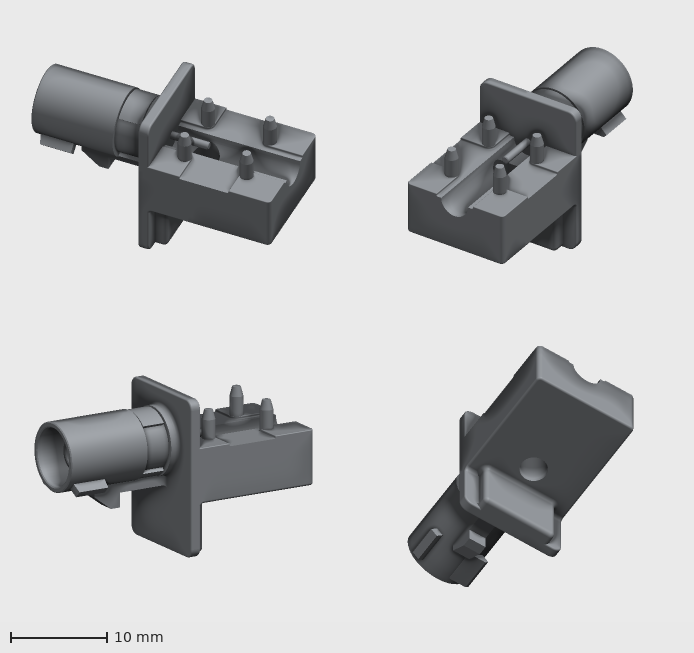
import cadquery as cq
import math


BARREL_R = 3.75
BARREL_LENGTH = 9.25
RIM_CHAMFER = 0.1
BORE_R = 3.15
BORE_DEPTH = 8.45
NECK_R = 3.2
NECK_END = 12.13

RING_R = 3.63
RING_GAP = 0.17
RING_OPEN_HALF_ANGLE = 45.0

SLEEVE_R = 1.85
SLEEVE_BORE_R = 1.38
SLEEVE_START = 2.35
SLEEVE_CHAMFER = 0.17
SLEEVE_BORE_CHAMFER = 0.08
CONTACT_R = 0.42
CONTACT_START = 3.38
CONTACT_END = 18.58
CONTACT_TIP_CHAMFER = 0.23
CONTACT_TAIL_CHAMFER = 0.08

PLATE_START = 13.15
PLATE_END = 14.33
PLATE_WIDTH = 12.0
PLATE_TOP = 5.5
PLATE_BOTTOM = -11.5
PLATE_CORNER_R = 1.0
PLATE_EDGE_R = 0.2
COLLAR_FILLET = 0.35

LATCH_START = 4.5
LATCH_END = 7.57
LATCH_WIDTH = 2.0
LATCH_BOTTOM = -6.28
LATCH_NOSE_BOTTOM = -4.75
LATCH_SLOPE_END = 6.5
STRIP_BOTTOM = -4.67

KEY_FRONT = 0.75
KEY_FRONT_SLOPE = 0.25
KEY_END = LATCH_START
KEY_WIDTH = 0.99
KEY_R = 4.75
KEY_FLAT_Z = -3.72
KEY_ANGLE = 45.0

BODY_END = 28.15
BODY_WIDTH = PLATE_WIDTH
BODY_BOTTOM = -5.7
BODY_CORNER_R = 0.5
BODY_EDGE_R = 0.25
GROOVE_R = 1.65
HOLE_X = 18.15
HOLE_DIAMETER = 2.95

PAD_HEIGHT = 0.3
PAD_MARGIN = 0.73
PAD_EDGE_R = 0.08
PAD_ROOT_R = 0.15
POST_XS = (17.12, 24.15)
POST_Y = 2.98
POST_DIAMETER = 1.44
POST_R = POST_DIAMETER / 2
POST_TIP_R = 0.45
POST_SHOULDER_Z = 2.4
POST_TOP = 3.4

RIB_END = 15.7
RIB_WIDTH = 8.73
RIB_EDGE_R = 0.5
RIB_ROOT_R = 0.23
BODY_ROOT_R = 0.45

SELECT_MARGIN = 0.03


def rod(radius, start, end):
    """Cylinder on the barrel axis."""
    return cq.Workplane("YZ", origin=(start, 0, 0)).circle(radius).extrude(end - start)


def block(x_range, y_range, z_range):
    """Box given by its limits along each axis."""
    corner = cq.Vector(x_range[0], y_range[0], z_range[0])
    size = [limits[1] - limits[0] for limits in (x_range, y_range, z_range)]
    return cq.Workplane(cq.Solid.makeBox(*size, corner))


def centred(width):
    """Limits of a width centred on zero."""
    return (-width / 2, width / 2)


def make_barrel():
    shell = rod(BARREL_R, 0, BARREL_LENGTH).faces("<X").edges().chamfer(RIM_CHAMFER)
    shell = shell.union(rod(NECK_R, BARREL_LENGTH, NECK_END)).union(make_ring())
    shell = shell.cut(rod(BORE_R, 0, BORE_DEPTH))
    mouth_edge = cq.selectors.RadiusNthSelector(0)
    return shell.faces("<X").edges(mouth_edge).chamfer(RIM_CHAMFER)


def make_ring():
    ring = rod(RING_R, BARREL_LENGTH + RING_GAP, NECK_END - RING_GAP)
    reach = 2 * RING_R
    rise = reach * math.tan(math.radians(RING_OPEN_HALF_ANGLE))
    opening = (
        cq.Workplane("YZ", origin=(BARREL_LENGTH, 0, 0))
        .polyline([(0, 0), (-reach, rise), (-reach, -rise)])
        .close()
        .extrude(NECK_END - BARREL_LENGTH)
    )
    return ring.cut(opening)


def make_sleeve():
    sleeve = rod(SLEEVE_R, SLEEVE_START, BORE_DEPTH).faces("<X").edges().chamfer(SLEEVE_CHAMFER)
    sleeve = sleeve.cut(rod(SLEEVE_BORE_R, SLEEVE_START, BORE_DEPTH))
    mouth_edge = cq.selectors.RadiusNthSelector(0)
    return sleeve.faces("<X").edges(mouth_edge).chamfer(SLEEVE_BORE_CHAMFER)


def make_contact():
    contact = rod(CONTACT_R, CONTACT_START, CONTACT_END)
    contact = contact.faces("<X").edges().chamfer(CONTACT_TIP_CHAMFER)
    return contact.faces(">X").edges().chamfer(CONTACT_TAIL_CHAMFER)


def make_plate():
    plate = block((PLATE_START, PLATE_END), centred(PLATE_WIDTH), (PLATE_BOTTOM, PLATE_TOP))
    plate = plate.edges("|X").fillet(PLATE_CORNER_R)
    return plate.faces("<X or >X").edges().fillet(PLATE_EDGE_R)


def make_collar():
    """Barrel collar and strip end, flared where they meet the plate."""
    strip = block((NECK_END, PLATE_START), centred(LATCH_WIDTH), (STRIP_BOTTOM, 0))
    backing_size = 2 * (PLATE_TOP - PLATE_EDGE_R)
    backing = block((PLATE_START, PLATE_END - PLATE_EDGE_R), centred(backing_size), centred(backing_size))
    joined = rod(BARREL_R, NECK_END, PLATE_START).union(strip).union(backing)
    reach = backing_size / 2 - SELECT_MARGIN
    inside = cq.selectors.BoxSelector(
        (PLATE_START - SELECT_MARGIN, -reach, -reach),
        (PLATE_START + SELECT_MARGIN, reach, reach),
    )
    return joined.edges(inside).fillet(COLLAR_FILLET)


def make_latch():
    return (
        cq.Workplane("XZ", origin=(0, LATCH_WIDTH / 2, 0))
        .moveTo(LATCH_START, -NECK_R)
        .lineTo(LATCH_START, LATCH_NOSE_BOTTOM)
        .lineTo(LATCH_SLOPE_END, LATCH_BOTTOM)
        .lineTo(LATCH_END, LATCH_BOTTOM)
        .lineTo(LATCH_END, STRIP_BOTTOM)
        .lineTo(PLATE_START, STRIP_BOTTOM)
        .lineTo(PLATE_START, -NECK_R)
        .close()
        .extrude(LATCH_WIDTH)
    )


def make_key():
    """Square key on the -Y side, modelled along -Z and turned about the axis."""
    blank = (
        cq.Workplane("XZ", origin=(0, KEY_WIDTH / 2, 0))
        .moveTo(KEY_FRONT, -NECK_R)
        .lineTo(KEY_FRONT, -BARREL_R)
        .lineTo(KEY_FRONT + KEY_FRONT_SLOPE, -KEY_R)
        .lineTo(KEY_END, -KEY_R)
        .lineTo(KEY_END, -NECK_R)
        .close()
        .extrude(KEY_WIDTH)
    )
    return blank.rotate((0, 0, 0), (1, 0, 0), -KEY_ANGLE)


def make_flat_key():
    """Wide key on the +Y side with a level underside."""
    across = math.sin(math.radians(KEY_ANGLE))
    down = math.cos(math.radians(KEY_ANGLE))
    outline = [
        (NECK_R * across, -NECK_R * down),
        (KEY_R * across, -KEY_R * down),
        ((KEY_R + KEY_FLAT_Z * down) / across, KEY_FLAT_Z),
        (LATCH_WIDTH / 2, KEY_FLAT_Z),
        (LATCH_WIDTH / 2, -NECK_R),
    ]
    return (
        cq.Workplane("YZ", origin=(KEY_FRONT, 0, 0))
        .polyline(outline)
        .close()
        .extrude(KEY_END - KEY_FRONT)
    )


def make_body():
    """Rear block, with a thin leg inside the plate that blends its underside into the plate."""
    leg_start = (PLATE_START + PLATE_END) / 2
    leg_bottom = PLATE_BOTTOM + PLATE_CORNER_R
    body = (
        cq.Workplane("XZ", origin=(0, BODY_WIDTH / 2, 0))
        .moveTo(leg_start, 0)
        .lineTo(BODY_END, 0)
        .lineTo(BODY_END, BODY_BOTTOM)
        .lineTo(PLATE_END + BODY_ROOT_R, BODY_BOTTOM)
        .radiusArc((PLATE_END, BODY_BOTTOM - BODY_ROOT_R), -BODY_ROOT_R)
        .lineTo(PLATE_END, leg_bottom)
        .lineTo(leg_start, leg_bottom)
        .close()
        .extrude(BODY_WIDTH)
    )
    body = body.faces(">X").edges("|Z").fillet(BODY_CORNER_R)
    underside = cq.selectors.BoxSelector(
        (PLATE_END - SELECT_MARGIN, -BODY_WIDTH, PLATE_BOTTOM),
        (BODY_END + SELECT_MARGIN, BODY_WIDTH, BODY_BOTTOM + SELECT_MARGIN),
    )
    body = body.edges(underside).edges("(not |Y) or >X").fillet(BODY_EDGE_R)
    body = body.union(make_pads())
    pad_roots = cq.selectors.BoxSelector(
        (PLATE_END, -BODY_WIDTH / 2 + SELECT_MARGIN, -SELECT_MARGIN),
        (BODY_END - SELECT_MARGIN, BODY_WIDTH / 2 - SELECT_MARGIN, SELECT_MARGIN),
    )
    body = body.edges(pad_roots).fillet(PAD_ROOT_R)
    groove = rod(GROOVE_R, PLATE_END, BODY_END)
    hole = cq.Workplane("XY", origin=(HOLE_X, 0, BODY_BOTTOM))
    hole = hole.circle(HOLE_DIAMETER / 2).extrude(-BODY_BOTTOM)
    return body.cut(groove).cut(hole)


def make_pads():
    """Four raised corners of the rear block, each rounded around its solder post."""
    half_width = BODY_WIDTH / 2
    inner_y = POST_Y - PAD_MARGIN
    front_pad = block(
        (PLATE_END - PLATE_EDGE_R, POST_XS[0] + PAD_MARGIN), (inner_y, half_width), (0, PAD_HEIGHT)
    )
    front_pad = front_pad.edges("|Z and >X and <Y").fillet(PAD_MARGIN)
    rear_pad = block((POST_XS[1] - PAD_MARGIN, BODY_END), (inner_y, half_width), (0, PAD_HEIGHT))
    rear_pad = rear_pad.edges("|Z and <X and <Y").fillet(PAD_MARGIN)
    rear_pad = rear_pad.edges("|Z and >X and >Y").fillet(BODY_CORNER_R)
    pads = cq.Workplane()
    for pad in (front_pad, rear_pad):
        pad = pad.faces(">Z").edges().fillet(PAD_EDGE_R)
        pads = pads.add(pad).add(pad.mirror("XZ"))
    return pads.combine()


def make_posts():
    shaft_length = POST_SHOULDER_Z + PAD_HEIGHT
    tip_height = POST_TOP - POST_SHOULDER_Z
    posts = cq.Workplane()
    for x in POST_XS:
        for y in (-POST_Y, POST_Y):
            shaft = cq.Solid.makeCylinder(POST_R, shaft_length, cq.Vector(x, y, -PAD_HEIGHT))
            tip = cq.Solid.makeCone(POST_R, POST_TIP_R, tip_height, cq.Vector(x, y, POST_SHOULDER_Z))
            posts = posts.add(shaft).add(tip)
    return posts.combine()


def make_rib():
    """Rounded rib behind the plate, flared into the rear block above and into the plate beside it."""
    plate_inside = PLATE_END - PLATE_EDGE_R
    flare_margin = 2 * BODY_ROOT_R
    rib = block((plate_inside, RIB_END), centred(RIB_WIDTH), (PLATE_BOTTOM, BODY_BOTTOM))
    rib = rib.edges("(|Z and >X) or (<Z exc <X)").fillet(RIB_EDGE_R)
    ceiling = block(
        (plate_inside, RIB_END + flare_margin),
        centred(RIB_WIDTH + 2 * flare_margin),
        (BODY_BOTTOM, BODY_BOTTOM + BODY_EDGE_R),
    )
    flare_edges = cq.selectors.BoxSelector(
        (plate_inside + SELECT_MARGIN, -RIB_WIDTH / 2 - SELECT_MARGIN, BODY_BOTTOM - SELECT_MARGIN),
        (RIB_END + SELECT_MARGIN, RIB_WIDTH / 2 + SELECT_MARGIN, BODY_BOTTOM + SELECT_MARGIN),
    )
    rib = rib.union(ceiling).edges(flare_edges).fillet(BODY_ROOT_R)
    root = make_rib_root()
    return rib.union(root).union(root.mirror("XZ"))


def make_rib_root():
    """Fillet material in the corner between the plate and the +Y side of the rib."""
    side_y = RIB_WIDTH / 2
    bottom = PLATE_BOTTOM + RIB_EDGE_R
    plate_inside = PLATE_END - PLATE_EDGE_R
    return (
        cq.Workplane("XY", origin=(0, 0, bottom))
        .moveTo(plate_inside, side_y - RIB_ROOT_R)
        .lineTo(PLATE_END + RIB_ROOT_R, side_y - RIB_ROOT_R)
        .lineTo(PLATE_END + RIB_ROOT_R, side_y)
        .radiusArc((PLATE_END, side_y + RIB_ROOT_R), RIB_ROOT_R)
        .lineTo(plate_inside, side_y + RIB_ROOT_R)
        .close()
        .extrude(BODY_BOTTOM - bottom)
    )


result = make_barrel()
for feature in (
    make_plate(),
    make_collar(),
    make_sleeve(),
    make_latch(),
    make_key(),
    make_flat_key(),
    make_rib(),
    make_body(),
    make_posts(),
    make_contact(),
):
    result = result.union(feature)